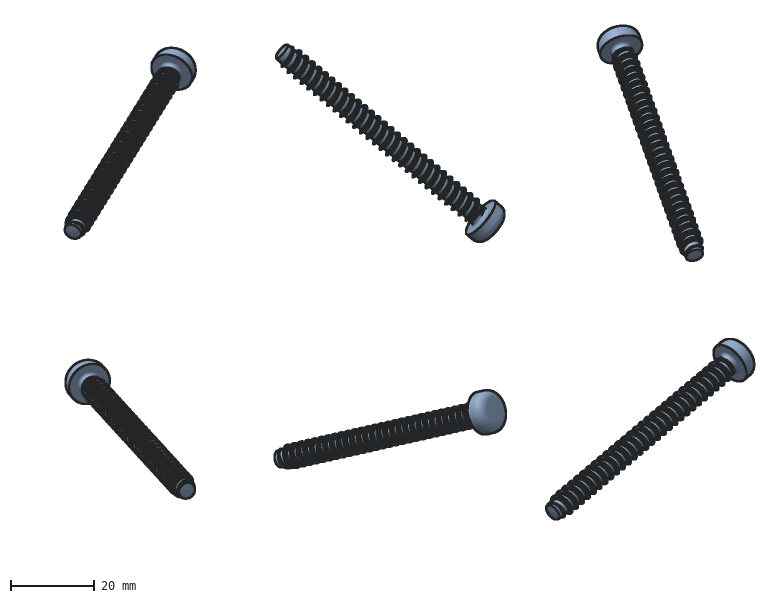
import cadquery as cq
import math


head_diameter = 10.5
head_radius = head_diameter / 2
head_height = 4.2
head_edge_radius = 2.1

shank_length = 64.8
tip_point_height = 0.19
core_radius = 2.2
tip_radius = 2.1
tip_taper_length = 0.8
neck_radius = 2.4
neck_fillet = 0.75
neck_end = 1.57
neck_taper_length = 0.4
tip_depth = shank_length + tip_point_height

thread_radius = 3.0
pitch = 2.14
thread_start = 0.15
thread_start_angle = 180
fade_turns = 1.25
full_turns = 27.5
knee_radius = 2.45
root_half_width = 0.58
knee_half_width = 0.25
crest_half_width = 0.06
root_radius = core_radius - 0.1
sunk_crest_radius = core_radius - 0.02
sunk_width_ratio = 0.5


def make_body():
    """Head, neck and core with a blunt conical tip, revolved about the screw axis."""
    mid_arc_ratio = 1 - math.cos(math.radians(45))
    arc_reach = head_edge_radius * mid_arc_ratio
    fillet_reach = neck_fillet * mid_arc_ratio
    return (
        cq.Workplane("XZ")
        .moveTo(0, -head_height)
        .lineTo(head_radius - head_edge_radius, -head_height)
        .threePointArc(
            (head_radius - arc_reach, arc_reach - head_height),
            (head_radius, head_edge_radius - head_height),
        )
        .lineTo(head_radius, 0)
        .lineTo(neck_radius + neck_fillet, 0)
        .threePointArc((neck_radius + fillet_reach, fillet_reach), (neck_radius, neck_fillet))
        .lineTo(neck_radius, neck_end)
        .lineTo(core_radius, neck_end + neck_taper_length)
        .lineTo(core_radius, shank_length - tip_taper_length)
        .lineTo(tip_radius, shank_length)
        .lineTo(0, tip_depth)
        .close()
        .revolve(360, (0, 0, 0), (0, 1, 0))
    )


def helix(start_turn, turns, start_point, end_point):
    """Cylindrical or conical helical edge that carries one profile point to another."""
    start_radius, start_offset = start_point
    end_radius, end_offset = end_point
    rise = pitch * turns + end_offset - start_offset
    lead = rise / turns
    if start_radius == end_radius:
        wire = cq.Wire.makeHelix(lead, rise, start_radius)
    else:
        cone_angle = math.atan2(end_radius - start_radius, rise)
        slant = 1 / math.cos(cone_angle)
        wire = cq.Wire.makeHelix(lead * slant, rise * slant, start_radius, angle=math.degrees(cone_angle))
    start_angle = thread_start_angle + 360 * start_turn
    start_depth = thread_start + pitch * start_turn + start_offset
    turned = wire.rotate(cq.Vector(0, 0, 0), cq.Vector(0, 0, 1), start_angle)
    return turned.translate(cq.Vector(0, 0, start_depth)).Edges()[0]


def sunk(point):
    """Profile point where the whole ridge has shrunk into the core."""
    radius, offset = point
    height_ratio = (sunk_crest_radius - root_radius) / (thread_radius - root_radius)
    return root_radius + height_ratio * (radius - root_radius), sunk_width_ratio * offset


def make_thread():
    """Ridge of ruled helical faces in three stretches: fading in, full height, fading out."""
    profile = [
        (root_radius, -root_half_width),
        (knee_radius, -knee_half_width),
        (thread_radius, -crest_half_width),
        (thread_radius, crest_half_width),
        (knee_radius, knee_half_width),
        (root_radius, root_half_width),
    ]
    fade_out_turn = fade_turns + full_turns
    fade_in = [helix(0, fade_turns, sunk(p), p) for p in profile]
    full = [helix(fade_turns, full_turns, p, p) for p in profile]
    fade_out = [helix(fade_out_turn, fade_turns, p, sunk(p)) for p in profile]

    faces = []
    for edges in (fade_in, full, fade_out):
        neighbours = edges[1:] + edges[:1]
        faces += [cq.Face.makeRuledSurface(a, b) for a, b in zip(edges, neighbours)]
    start_corners = [edge.startPoint() for edge in fade_in]
    end_corners = [edge.endPoint() for edge in fade_out]
    for corners in (start_corners, end_corners):
        faces.append(cq.Face.makeFromWires(cq.Wire.makePolygon(corners, close=True)))
    return cq.Workplane(cq.Solid.makeSolid(cq.Shell.makeShell(faces)))


screw = make_body().union(make_thread(), clean=False)
result = screw.rotate((0, 0, 0), (1, 0, 0), 90)